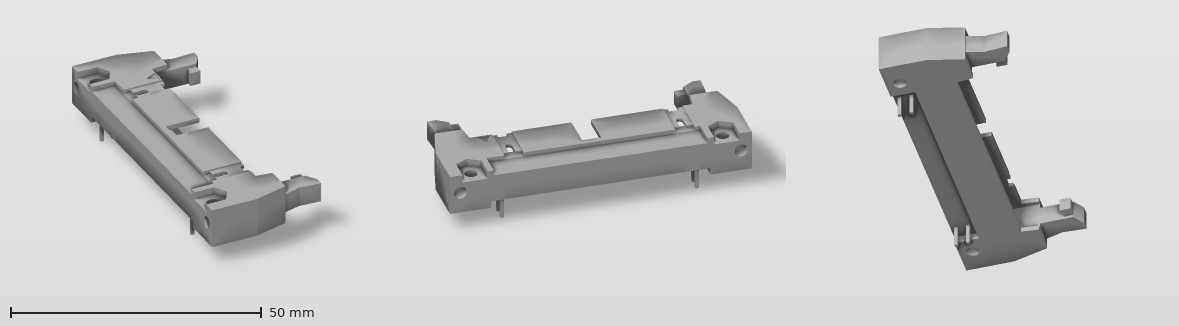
import cadquery as cq
import math

LENGTH = 62.8
HALF_LENGTH = LENGTH / 2
BODY_HEIGHT = 8.55
SHROUD_FRONT_Y = 13.75
CUT_MARGIN = 0.6

TOWER_FRONT_Y = 17.35
TOWER_BEND_Y = 10.0
TOWER_TIP_OUTER_X = 29.45
TOWER_TIP_INNER_X = 23.6
TOWER_ROOT_INNER_X = 23.25

ARM_TIP_Y = 25.75
ARM_INNER_X = 24.35
ARM_ROOT_OUTER_X = 29.15
ARM_WAIST_OUTER_X = 28.15
ARM_WAIST_Y = 21.0
ARM_TIP_OUTER_X = 28.45
ARM_TIP_INNER_X = 26.6
ARM_BOTTOM_Z = 2.25
ARM_HEIGHT = 4.2
HOOK_HEIGHT = 2.95
HOOK_END_X = 22.4
HOOK_LIP_X = 23.1
HOOK_FRONT_Y = 24.2
HOOK_BACK_Y = 22.3
HOOK_LIP_BACK_Y = 21.9

WALL = 1.05
CAVITY_BACK_Y = 7.55

REAR_STEP_Y = 5.1
LEDGE_LEFT_X = -22.3
LEDGE_RIGHT_X = 22.15
LEDGE_DEPTH = 1.1
KEY_WIDTH = 4.0
KEY_BACK_Y = 6.4
GROOVE_LENGTH = 45.6
GROOVE_HEIGHT = 1.5

RECESS_CENTERS_X = (-16.5, 19.0)
RECESS_WIDTH = 4.0
RECESS_DEPTH = 0.3
RECESS_STEP_Y = 6.6
RECESS_STEP_DEPTH = 0.95
SLOT_WIDTH = 1.4
SLOT_END_Y = 9.6
NICK_WIDTH = 2.0
NICK_LENGTH = 0.95

MOUNT_X = 26.2
MOUNT_Y = 2.9
HOLE_DIAMETER = 2.7
NUT_ACROSS_FLATS = 5.3
NUT_POCKET_DEPTH = 1.7
HEX_HALF_ANGLE = math.radians(30)

REAR_HOLE_X = 29.2
REAR_HOLE_Z = 4.5
REAR_HOLE_DEPTH = 5.0

MARK_X = -20.4
MARK_WIDTH = 2.65
MARK_BASE_Y = 13.55
MARK_APEX_Y = 11.05
MARK_DEPTH = 0.4

PIN_SIZE = 0.7
PIN_X = 20.3
PIN_ROWS_Y = (1.1, 3.65)
PIN_DROP = 3.15


def block(x_range, y_range, z_range):
    """Box spanning the given (low, high) ranges."""
    size = [high - low for low, high in (x_range, y_range, z_range)]
    corner = (x_range[0], y_range[0], z_range[0])
    return cq.Workplane("XY").box(*size, centered=False).translate(corner)


def prism(points, bottom, height):
    """Closed polygon in plan, extruded upward from the given height."""
    return cq.Workplane("XY").workplane(offset=bottom).polyline(points).close().extrude(height)


def body_blank():
    right_side = [
        (HALF_LENGTH, 0),
        (HALF_LENGTH, TOWER_BEND_Y),
        (TOWER_TIP_OUTER_X, TOWER_FRONT_Y),
        (TOWER_TIP_INNER_X, TOWER_FRONT_Y),
        (TOWER_ROOT_INNER_X, SHROUD_FRONT_Y),
    ]
    left_side = [(-x, y) for x, y in reversed(right_side)]
    return prism(right_side + left_side, 0, BODY_HEIGHT)


def cavity():
    """Mating cavity, open toward +Y and along the inner sides of the towers."""
    return block(
        (-ARM_INNER_X, ARM_INNER_X),
        (CAVITY_BACK_Y, TOWER_FRONT_Y + CUT_MARGIN),
        (WALL, BODY_HEIGHT - WALL),
    )


def rear_ledge():
    return block(
        (LEDGE_LEFT_X, LEDGE_RIGHT_X),
        (-CUT_MARGIN, REAR_STEP_Y),
        (BODY_HEIGHT - LEDGE_DEPTH, BODY_HEIGHT + CUT_MARGIN),
    )


def key_notch():
    """Polarising notch through the top wall."""
    return block(
        (-KEY_WIDTH / 2, KEY_WIDTH / 2),
        (KEY_BACK_Y, SHROUD_FRONT_Y + CUT_MARGIN),
        (BODY_HEIGHT - WALL, BODY_HEIGHT + CUT_MARGIN),
    )


def pin_groove():
    return block(
        (-GROOVE_LENGTH / 2, GROOVE_LENGTH / 2),
        (-CUT_MARGIN, REAR_STEP_Y),
        (-CUT_MARGIN, GROOVE_HEIGHT),
    )


def spring_recess(center_x):
    """Shallow channel with a deeper rear step, a round-ended slot and a front nick."""
    top = BODY_HEIGHT + CUT_MARGIN
    step_z = BODY_HEIGHT - RECESS_STEP_DEPTH
    wall_z = BODY_HEIGHT - WALL
    slot_radius = SLOT_WIDTH / 2
    slot_arc_y = SLOT_END_Y - slot_radius

    def across(width):
        return (center_x - width / 2, center_x + width / 2)

    channel = block(
        across(RECESS_WIDTH),
        (REAR_STEP_Y, SHROUD_FRONT_Y + CUT_MARGIN),
        (BODY_HEIGHT - RECESS_DEPTH, top),
    )
    step = block(across(RECESS_WIDTH), (REAR_STEP_Y, RECESS_STEP_Y), (step_z, top))
    slot_rear = block(across(SLOT_WIDTH), (RECESS_STEP_Y, CAVITY_BACK_Y), (step_z, top))
    slot_front = block(across(SLOT_WIDTH), (CAVITY_BACK_Y, slot_arc_y), (wall_z, top))
    slot_end = (
        cq.Workplane("XY")
        .workplane(offset=wall_z)
        .center(center_x, slot_arc_y)
        .circle(slot_radius)
        .extrude(top - wall_z)
    )
    nick = block(
        across(NICK_WIDTH),
        (SHROUD_FRONT_Y - NICK_LENGTH, SHROUD_FRONT_Y + CUT_MARGIN),
        (wall_z, top),
    )
    return channel.union(step).union(slot_rear).union(slot_front).union(slot_end).union(nick)


def mounting_hole(side):
    """Vertical through hole under a nut pocket that opens to the rear face."""
    half_flats = NUT_ACROSS_FLATS / 2
    corner_rise = half_flats * math.tan(HEX_HALF_ANGLE)
    apex_rise = half_flats / math.cos(HEX_HALF_ANGLE)
    x = side * MOUNT_X
    outline = [
        (x - half_flats, -CUT_MARGIN),
        (x + half_flats, -CUT_MARGIN),
        (x + half_flats, MOUNT_Y + corner_rise),
        (x, MOUNT_Y + apex_rise),
        (x - half_flats, MOUNT_Y + corner_rise),
    ]
    pocket = prism(outline, BODY_HEIGHT - NUT_POCKET_DEPTH, NUT_POCKET_DEPTH + CUT_MARGIN)
    hole = cq.Workplane("XY").center(x, MOUNT_Y).circle(HOLE_DIAMETER / 2).extrude(BODY_HEIGHT)
    return pocket.union(hole)


def rear_hole(side):
    return (
        cq.Workplane("XZ")
        .center(side * REAR_HOLE_X, REAR_HOLE_Z)
        .circle(HOLE_DIAMETER / 2)
        .extrude(-REAR_HOLE_DEPTH)
    )


def pin_one_mark():
    triangle = [
        (MARK_X - MARK_WIDTH / 2, MARK_BASE_Y),
        (MARK_X + MARK_WIDTH / 2, MARK_BASE_Y),
        (MARK_X, MARK_APEX_Y),
    ]
    return prism(triangle, BODY_HEIGHT - MARK_DEPTH, MARK_DEPTH)


def latch(side):
    """Waisted latch arm with a shorter hook reaching inward."""
    arm_outline = [
        (ARM_INNER_X, TOWER_FRONT_Y),
        (ARM_ROOT_OUTER_X, TOWER_FRONT_Y),
        (ARM_WAIST_OUTER_X, ARM_WAIST_Y),
        (ARM_TIP_OUTER_X, ARM_TIP_Y),
        (ARM_TIP_INNER_X, ARM_TIP_Y),
        (ARM_INNER_X, HOOK_FRONT_Y),
    ]
    hook_outline = [
        (ARM_INNER_X, HOOK_FRONT_Y),
        (HOOK_END_X, HOOK_FRONT_Y),
        (HOOK_END_X, HOOK_LIP_BACK_Y),
        (HOOK_LIP_X, HOOK_LIP_BACK_Y),
        (HOOK_LIP_X, HOOK_BACK_Y),
        (ARM_INNER_X, HOOK_BACK_Y),
    ]
    hook_bottom_z = ARM_BOTTOM_Z + (ARM_HEIGHT - HOOK_HEIGHT) / 2
    arm = prism([(side * x, y) for x, y in arm_outline], ARM_BOTTOM_Z, ARM_HEIGHT)
    hook = prism([(side * x, y) for x, y in hook_outline], hook_bottom_z, HOOK_HEIGHT)
    return arm.union(hook)


def solder_pin(x, y):
    """Square pin hanging from the groove ceiling."""
    half = PIN_SIZE / 2
    return block((x - half, x + half), (y - half, y + half), (-PIN_DROP, GROOVE_HEIGHT))


result = body_blank().cut(cavity()).cut(rear_ledge()).cut(key_notch()).cut(pin_groove())
result = result.cut(pin_one_mark())

for recess_x in RECESS_CENTERS_X:
    result = result.cut(spring_recess(recess_x))

for side in (-1, 1):
    result = result.cut(mounting_hole(side)).cut(rear_hole(side)).union(latch(side))
    for row_y in PIN_ROWS_Y:
        result = result.union(solder_pin(side * PIN_X, row_y))